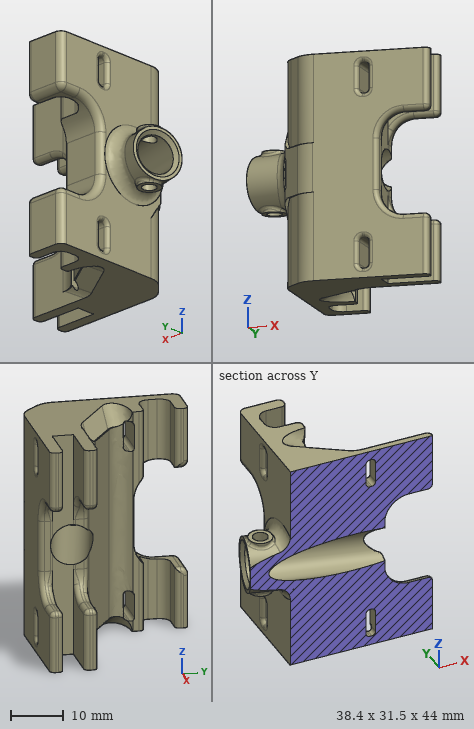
import cadquery as cq
import math

LENGTH_X = 29.85
LENGTH_Y = 31.5
HEIGHT = 44.0
HALF_HEIGHT = HEIGHT / 2

WALL = 2.55
X_LEG_SLOT = 4.1
X_LEG_THICKNESS = 2 * WALL + X_LEG_SLOT
X_LEG_SLOT_FLOOR = 19.8
Y_LEG_THICKNESS = 9.05
Y_LEG_SLOT = 6.1
Y_LEG_SLOT_TOP = LENGTH_Y - WALL
Y_LEG_SLOT_BOTTOM = Y_LEG_SLOT_TOP - Y_LEG_SLOT
Y_LEG_SLOT_RADIUS = 2.2
LIP_RADIUS = 1.0
TOP_CORNER_RADIUS = 1.5

HEEL_CHAMFER = 5.0
HEEL_RADIUS = 5.0
HEEL_TANGENT = HEEL_RADIUS * math.tan(math.radians(22.5))
HEEL_END = HEEL_CHAMFER + HEEL_TANGENT

SCALLOP_RADIUS = 3.0
SCALLOP_X = 11.12
SCALLOP_Y = 18.45
WEB_ANGLE = math.radians(33)
WEB_FOOT_RADIUS = 5.0
LEAN_ANGLE = math.radians(60)
LEAN_SHIFT = 5.2
LEAN_DEPTH = LEAN_SHIFT / math.tan(LEAN_ANGLE)
LEAN_SCALLOP_X = 9.0
LEAN_SCALLOP_Y = 17.5
LEAN_STRETCH = 1 / math.cos(LEAN_ANGLE)

WINDOW_HALF_HEIGHT = 10.0
X_WINDOW_START = 19.87
X_WINDOW_RADIUS = 5.0
X_WINDOW_FILLET = 1.0
Y_WINDOW_START = 20.85
Y_WINDOW_RADIUS = 5.6
Y_WINDOW_FILLET = 1.5

STRAP_Z = 17.0
STRAP_X = 16.9
STRAP_Y = 19.95
STRAP_WIDTH = 1.95
STRAP_LENGTH = 6.0
STRAP_CORNER_RADIUS = 0.8
STRAP_FILLET = 0.85

TUBE_TILT = math.atan2(44, 187)
TUBE_RADIUS = 5.5
TUBE_END_X = -7.27
TUBE_END_Y = 12.7
TUBE_LENGTH = 9.6
TUBE_FILLET = 2.5
BORE_RADIUS = 4.0
BORE_CHAMFER = 0.8
BORE_LENGTH = 60.0
COLLAR_RADIUS = 8.0
COLLAR_Y = 11.66
COLLAR_SLAB = 3.5
COLLAR_OVERLAP = 0.3

SADDLE_TIP_Y = 4.4
SADDLE_KNEE_X = 3.55
SADDLE_KNEE_Y = 1.15
SADDLE_ARC_X = 5.15
SADDLE_ARC_Y = 0.3
SADDLE_NECK_Y = 3.8
SADDLE_HALF = 4.8
SADDLE_WIDE_HALF = 9.5

BOSS_FROM_END = 3.0
BOSS_RADIUS = 2.4
BOSS_HALF_HEIGHT = 6.0
BOSS_HOLE_RADIUS = 1.5
BOSS_FILLET = 0.75

CLEARANCE = 20.0
MARGIN = 0.01


def box(x_range, y_range, z_range):
    """Axis-aligned box between pairs of limits."""
    size = [limits[1] - limits[0] for limits in (x_range, y_range, z_range)]
    corner = (x_range[0], y_range[0], z_range[0])
    return cq.Workplane("XY").box(*size, centered=False).translate(corner)


def edges_inside(body, corner, opposite_corner):
    """Edges of the body that lie wholly inside a box, given by two corners."""
    low = [value - MARGIN for value in corner]
    high = [value + MARGIN for value in opposite_corner]
    return body.edges(cq.selectors.BoxSelector(low, high, boundingbox=True))


def tube_axis_point(distance):
    """Point on the tube axis, measured inwards from the open end."""
    return (
        TUBE_END_X + distance * math.cos(TUBE_TILT),
        TUBE_END_Y - distance * math.sin(TUBE_TILT),
        0,
    )


def bracket_blank():
    """L section with both open channels; the inner side is left as a straight diagonal."""
    blank = (
        cq.Workplane("XY", origin=(0, 0, -HALF_HEIGHT))
        .polyline([
            (0, HEEL_CHAMFER),
            (0, LENGTH_Y),
            (Y_LEG_THICKNESS, LENGTH_Y),
            (Y_LEG_THICKNESS, X_LEG_THICKNESS + SCALLOP_Y / 2),
            (X_LEG_SLOT_FLOOR + WEB_FOOT_RADIUS, X_LEG_THICKNESS),
            (LENGTH_X, X_LEG_THICKNESS),
            (LENGTH_X, 0),
            (HEEL_CHAMFER, 0),
        ])
        .close()
        .extrude(HEIGHT)
    )
    heel = cq.selectors.BoxSelector((-1, -1, -1), (HEEL_CHAMFER + 1, HEEL_CHAMFER + 1, 1))
    blank = blank.edges("|Z").edges(heel).fillet(HEEL_RADIUS)

    z_range = (-HALF_HEIGHT, HALF_HEIGHT)
    x_channel = box((X_LEG_SLOT_FLOOR, LENGTH_X), (WALL, WALL + X_LEG_SLOT), z_range)
    y_channel = box((WALL, Y_LEG_THICKNESS), (Y_LEG_SLOT_BOTTOM, Y_LEG_SLOT_TOP), z_range)
    y_channel = y_channel.edges("|Z and <X").fillet(Y_LEG_SLOT_RADIUS)
    blank = blank.cut(x_channel).cut(y_channel)
    return blank.edges("|Z and >X").fillet(LIP_RADIUS)


def hollow_prism(scallop, half_width, base_z, direction):
    """Elliptic scallop and the space beyond its sloping web, swept along a direction."""
    scallop_x, scallop_y = scallop
    reach = math.hypot(half_width * math.sin(WEB_ANGLE), SCALLOP_RADIUS * math.cos(WEB_ANGLE))
    tangent_x = scallop_x - half_width**2 * math.sin(WEB_ANGLE) / reach
    tangent_y = scallop_y - SCALLOP_RADIUS**2 * math.cos(WEB_ANGLE) / reach
    foot_x = tangent_x + (tangent_y - X_LEG_THICKNESS) / math.tan(WEB_ANGLE)
    foot_tangent = WEB_FOOT_RADIUS * math.tan(WEB_ANGLE / 2)
    foot_start = (
        foot_x - foot_tangent * math.cos(WEB_ANGLE),
        X_LEG_THICKNESS + foot_tangent * math.sin(WEB_ANGLE),
    )
    foot_middle = (
        foot_x + foot_tangent - WEB_FOOT_RADIUS * math.sin(WEB_ANGLE / 2),
        X_LEG_THICKNESS + WEB_FOOT_RADIUS * (1 - math.cos(WEB_ANGLE / 2)),
    )
    far_x = LENGTH_X + CLEARANCE
    crown_y = scallop_y + SCALLOP_RADIUS
    plane = cq.Workplane("XY", origin=(0, 0, base_z))
    web_side = (
        plane.moveTo(scallop_x, crown_y)
        .lineTo(tangent_x, tangent_y)
        .lineTo(*foot_start)
        .threePointArc(foot_middle, (foot_x + foot_tangent, X_LEG_THICKNESS))
        .lineTo(far_x, X_LEG_THICKNESS)
        .lineTo(far_x, crown_y)
        .close()
    )
    scallop_side = plane.center(scallop_x, scallop_y).ellipse(half_width, SCALLOP_RADIUS)
    sweep = cq.Vector(*direction)
    return [cq.Solid.extrudeLinear(side.wires().val(), [], sweep) for side in (web_side, scallop_side)]


def cut_hollow(body):
    """Straight hollow over the full height, leaning outwards near both ends."""
    for tool in hollow_prism((SCALLOP_X, SCALLOP_Y), SCALLOP_RADIUS, -HALF_HEIGHT, (0, 0, HEIGHT)):
        body = body.cut(cq.Workplane(tool))
    half_width = SCALLOP_RADIUS * LEAN_STRETCH
    scallop = (LEAN_SCALLOP_X + LEAN_SHIFT, LEAN_SCALLOP_Y)
    for side in (-1, 1):
        base_z = side * (HALF_HEIGHT - LEAN_DEPTH)
        for tool in hollow_prism(scallop, half_width, base_z, (-LEAN_SHIFT, 0, side * LEAN_DEPTH)):
            body = body.cut(cq.Workplane(tool))
    return body


def cut_x_window(body):
    """Open-ended window in the X leg; its rounding runs on around the leg tips."""
    half = WINDOW_HALF_HEIGHT
    window = box((X_WINDOW_START, LENGTH_X), (0, LENGTH_Y), (-half, half))
    body = body.cut(window.edges("|Y and <X").fillet(X_WINDOW_RADIUS))
    for y in (0, X_LEG_THICKNESS):
        rim = edges_inside(body, (X_WINDOW_START, y, -half), (LENGTH_X, y, half))
        body = rim.fillet(X_WINDOW_FILLET)
    return body


def cut_y_window(body):
    """Open-ended window in the Y leg, rounded on the outer face only."""
    half = WINDOW_HALF_HEIGHT
    window = box((0, LENGTH_X), (Y_WINDOW_START, LENGTH_Y), (-half, half))
    body = body.cut(window.edges("|X and <Y").fillet(Y_WINDOW_RADIUS))
    return edges_inside(body, (0, Y_WINDOW_START, -half), (0, LENGTH_Y, half)).fillet(Y_WINDOW_FILLET)


def round_y_leg_tips(body):
    """Rounded outer corner and rounded lips at the open end of the Y leg."""
    top = HALF_HEIGHT
    corner = edges_inside(body, (0, LENGTH_Y, -top), (0, LENGTH_Y, top))
    body = corner.edges("|Z").fillet(TOP_CORNER_RADIUS)
    lips = edges_inside(body, (Y_LEG_THICKNESS, Y_LEG_SLOT_BOTTOM, -top), (Y_LEG_THICKNESS, LENGTH_Y, top))
    return lips.edges("|Z").fillet(LIP_RADIUS)


def cut_strap_slots(body):
    """Two strap slots through each leg, with rounded mouths on the outer faces."""
    half_width = STRAP_WIDTH / 2
    half_length = STRAP_LENGTH / 2
    for z in (-STRAP_Z, STRAP_Z):
        z_range = (z - half_length, z + half_length)
        x_range = (STRAP_X - half_width, STRAP_X + half_width)
        slot = box(x_range, (0, LENGTH_Y), z_range).edges("|Y").fillet(STRAP_CORNER_RADIUS)
        body = body.cut(slot)
        mouth = edges_inside(body, (x_range[0], 0, z_range[0]), (x_range[1], 0, z_range[1]))
        body = mouth.fillet(STRAP_FILLET)

        y_range = (STRAP_Y - half_width, STRAP_Y + half_width)
        slot = box((0, LENGTH_X), y_range, z_range).edges("|X").fillet(STRAP_CORNER_RADIUS)
        body = body.cut(slot)
        mouth = edges_inside(body, (0, y_range[0], z_range[0]), (0, y_range[1], z_range[1]))
        body = mouth.fillet(STRAP_FILLET)
    return body


def tube_cylinder(radius, length):
    """Cylinder on the tilted tube axis, running inwards from the open end."""
    start = cq.Vector(*tube_axis_point(0))
    direction = cq.Vector(math.cos(TUBE_TILT), -math.sin(TUBE_TILT), 0)
    return cq.Workplane(cq.Solid.makeCylinder(radius, length, start, direction))


def bossed_tube():
    """Outer end of the tube with a boss above and below, blended into its wall."""
    x, y, _ = tube_axis_point(BOSS_FROM_END)
    boss = cq.Workplane("XY").center(x, y).circle(BOSS_RADIUS).extrude(-BOSS_HALF_HEIGHT)
    tube = tube_cylinder(TUBE_RADIUS, TUBE_LENGTH).union(boss)
    root = edges_inside(
        tube,
        (x - BOSS_RADIUS, y - BOSS_RADIUS, 2 * MARGIN - BOSS_HALF_HEIGHT),
        (x + BOSS_RADIUS, y + BOSS_RADIUS, 0),
    )
    lower = root.edges("not |Z").fillet(BOSS_FILLET)
    below = box((-CLEARANCE, CLEARANCE), (0, 2 * CLEARANCE), (-CLEARANCE, 0))
    lower = lower.intersect(below)
    return lower.union(lower.mirror("XY"))


def tube_with_collar():
    """Solid tube with cross bosses, blended into a round collar on the outer face of the Y leg."""
    tube = tube_cylinder(TUBE_RADIUS, TUBE_LENGTH)
    side = (-CLEARANCE, CLEARANCE)
    tube = tube.union(box((0, COLLAR_SLAB), (COLLAR_Y - CLEARANCE, COLLAR_Y + CLEARANCE), side))
    low_y = COLLAR_Y - COLLAR_RADIUS
    high_y = COLLAR_Y + COLLAR_RADIUS
    root = edges_inside(tube, (0, low_y, -COLLAR_RADIUS), (0, high_y, COLLAR_RADIUS))
    tube = root.fillet(TUBE_FILLET)
    crop = cq.Workplane("YZ", origin=(-CLEARANCE, COLLAR_Y, 0)).circle(COLLAR_RADIUS)
    tube = tube.intersect(crop.extrude(CLEARANCE + COLLAR_OVERLAP))
    return tube.union(bossed_tube(), clean=False)


def saddle():
    """Web that fills the heel below the collar, narrowing from the collar to the heel flat."""
    plan = (
        cq.Workplane("XY", origin=(0, 0, -SADDLE_WIDE_HALF))
        .moveTo(0, HEEL_END)
        .lineTo(0, SADDLE_TIP_Y)
        .lineTo(SADDLE_KNEE_X, SADDLE_KNEE_Y)
        .threePointArc((SADDLE_ARC_X, SADDLE_ARC_Y), (HEEL_END, 0))
        .lineTo(HEEL_END, HEEL_END)
        .close()
        .extrude(2 * SADDLE_WIDE_HALF)
    )
    side = (
        cq.Workplane("YZ")
        .polyline([
            (HEEL_END, -SADDLE_WIDE_HALF),
            (SADDLE_NECK_Y, -SADDLE_HALF),
            (0, -SADDLE_HALF),
            (0, SADDLE_HALF),
            (SADDLE_NECK_Y, SADDLE_HALF),
            (HEEL_END, SADDLE_WIDE_HALF),
        ])
        .close()
        .extrude(HEEL_END)
    )
    return plan.intersect(side)


def cut_bores(body):
    """Tube bore right through the bracket with a chamfered mouth, and the hole across the bosses."""
    body = body.cut(tube_cylinder(BORE_RADIUS, BORE_LENGTH))
    mouth_radius = BORE_RADIUS + BORE_CHAMFER
    mouth = cq.Solid.makeCone(
        mouth_radius,
        BORE_RADIUS,
        BORE_CHAMFER,
        cq.Vector(*tube_axis_point(0)),
        cq.Vector(*tube_axis_point(1)) - cq.Vector(*tube_axis_point(0)),
    )
    cross_hole = cq.Workplane("XY").circle(BOSS_HOLE_RADIUS).extrude(BOSS_HALF_HEIGHT, both=True)
    return body.cut(cq.Workplane(mouth)).cut(cross_hole.translate(tube_axis_point(BOSS_FROM_END)))


result = cut_hollow(bracket_blank())
result = cut_x_window(result)
result = cut_y_window(result)
result = round_y_leg_tips(result)
result = cut_strap_slots(result)
result = result.union(tube_with_collar(), clean=False).union(saddle(), clean=False)
result = cut_bores(result)